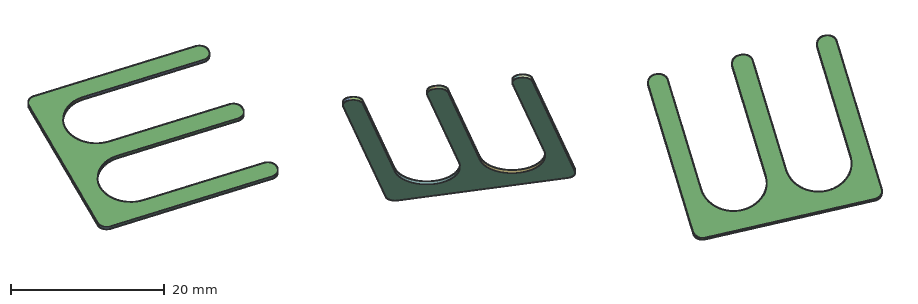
import cadquery as cq

plate_size = 25.4
thickness = 0.5
corner_radius = 1.27

slot_width = 8.636
web_width = 2.794

slot_radius = slot_width / 2
slot_spacing = slot_width + web_width
slot_floor_y = -plate_size / 2 + web_width


def make_plate():
    """Square plate lying centred on the XY plane, with its lower face at Z = 0."""
    return cq.Workplane("XY").rect(plate_size, plate_size).extrude(thickness)


def make_slot(center_x):
    """U-shaped cutter: a half-round floor with straight sides up to the +Y edge."""
    arc_center_y = slot_floor_y + slot_radius
    return (
        cq.Workplane("XY")
        .moveTo(center_x - slot_radius, plate_size / 2)
        .lineTo(center_x - slot_radius, arc_center_y)
        .threePointArc((center_x, slot_floor_y), (center_x + slot_radius, arc_center_y))
        .lineTo(center_x + slot_radius, plate_size / 2)
        .close()
        .extrude(thickness)
    )


def round_corners(body):
    """Round the two base corners and both corners of every prong tip."""
    return body.edges("|Z and (>Y or <Y)").fillet(corner_radius)


comb = make_plate()
for side in (-1, 1):
    comb = comb.cut(make_slot(side * slot_spacing / 2))

result = round_corners(comb)